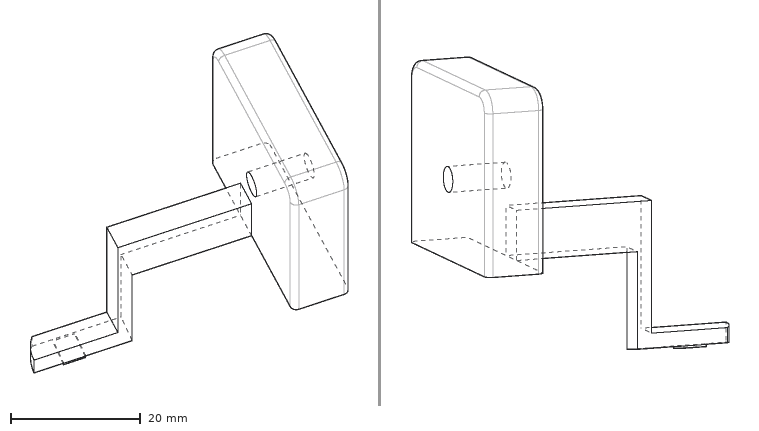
import cadquery as cq
import math


PLATE_WIDTH = 32.55
PLATE_DEPTH = 9.65
PLATE_HEIGHT = 28.9
CORNER_RADIUS = 3.2
EDGE_RADIUS = 1.0
HOLE_DIAMETER = 4.0
HOLE_HEIGHT = 12.65

LATCH_WIDTH = 4.43
ARM_HEIGHT = 7.9
LEG_BACK = 20.0
LEG_THICKNESS = 2.4
LEG_FRONT = LEG_BACK + LEG_THICKNESS
OVERALL_DEPTH = 46.1
REACH = OVERALL_DEPTH - PLATE_DEPTH
FOOT_TOP = -12.95
FOOT_THICKNESS = 2.4
SLOPE_DROP = 0.8
FOOT_BOTTOM_THIN = FOOT_TOP - FOOT_THICKNESS
FOOT_BOTTOM_THICK = FOOT_BOTTOM_THIN - SLOPE_DROP
TIP_SETBACK = 1.5

PAD_LENGTH = 3.7
PAD_CENTRE = 29.65
PAD_THICKNESS = 0.35


def make_plate():
    """Block with rounded top corners, rounded front and back edges and a through hole."""
    plate = cq.Workplane("XY").box(PLATE_WIDTH, PLATE_DEPTH, PLATE_HEIGHT, centered=(True, False, False))
    plate = plate.faces(">Z").edges("|Y").fillet(CORNER_RADIUS)
    plate = plate.faces("<Y or >Y").edges("not(<Z)").fillet(EDGE_RADIUS)
    hole = (
        cq.Workplane("XZ")
        .center(0, HOLE_HEIGHT)
        .circle(HOLE_DIAMETER / 2)
        .extrude(-PLATE_DEPTH)
    )
    return plate.cut(hole)


def make_latch():
    """Cranked arm whose foot has a sloping underside and a rounded tip."""
    side_profile = (
        cq.Workplane("YZ")
        .moveTo(0, 0)
        .lineTo(0, ARM_HEIGHT)
        .lineTo(-LEG_FRONT, ARM_HEIGHT)
        .lineTo(-LEG_FRONT, FOOT_TOP)
        .lineTo(-REACH, FOOT_TOP)
        .lineTo(-REACH, FOOT_BOTTOM_THICK)
        .lineTo(-LEG_BACK, FOOT_BOTTOM_THICK)
        .lineTo(-LEG_BACK, 0)
        .close()
        .extrude(-LATCH_WIDTH)
    )
    underside_wedge = (
        cq.Workplane("XZ")
        .moveTo(0, FOOT_BOTTOM_THICK)
        .lineTo(-LATCH_WIDTH, FOOT_BOTTOM_THICK)
        .lineTo(-LATCH_WIDTH, FOOT_BOTTOM_THIN)
        .close()
        .extrude(REACH)
    )
    return side_profile.cut(underside_wedge).intersect(make_tip_outline())


def make_tip_outline():
    """Tall block with the latch's plan outline: its end arc meets the thick side squarely."""
    tip_radius = (LATCH_WIDTH**2 + TIP_SETBACK**2) / (2 * TIP_SETBACK)
    mid_angle = math.asin(LATCH_WIDTH / tip_radius) / 2
    arc_middle = (-tip_radius * math.sin(mid_angle), -REACH + tip_radius * (1 - math.cos(mid_angle)))
    return (
        cq.Workplane("XY", origin=(0, 0, FOOT_BOTTOM_THICK))
        .moveTo(0, 0)
        .lineTo(-LATCH_WIDTH, 0)
        .lineTo(-LATCH_WIDTH, -REACH + TIP_SETBACK)
        .threePointArc(arc_middle, (0, -REACH))
        .close()
        .extrude(ARM_HEIGHT - FOOT_BOTTOM_THICK)
    )


def make_pad():
    """Thin strip lying across the sloping underside of the foot."""
    return (
        cq.Workplane("XZ", origin=(0, -PAD_CENTRE, 0))
        .moveTo(0, FOOT_BOTTOM_THICK)
        .lineTo(-LATCH_WIDTH, FOOT_BOTTOM_THIN)
        .lineTo(-LATCH_WIDTH, FOOT_BOTTOM_THIN - PAD_THICKNESS)
        .lineTo(0, FOOT_BOTTOM_THICK - PAD_THICKNESS)
        .close()
        .extrude(PAD_LENGTH / 2, both=True)
    )


plate = make_plate()
latch = make_latch()
pad = make_pad()

result = cq.Compound.makeCompound([plate.solids().val(), latch.solids().val(), pad.solids().val()])